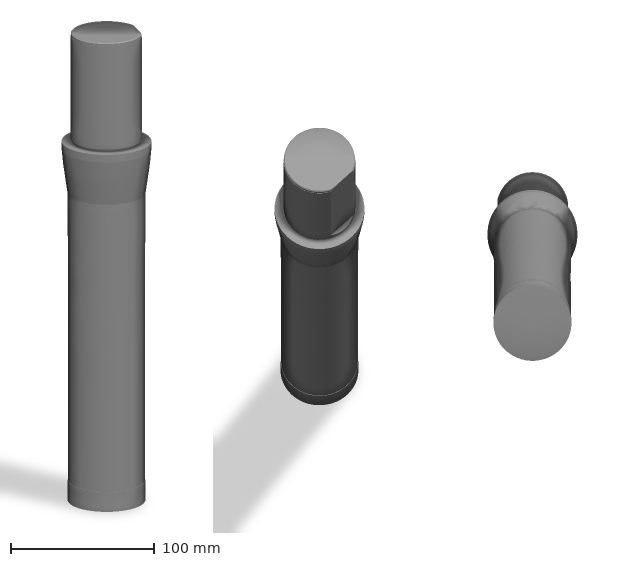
import cadquery as cq
import math

total_length = 344.0

collar_diameter = 62.5
neck_diameter = 54.5
barrel_diameter = 53.3
end_diameter = neck_diameter
end_step_diameter = 54.0
dome_height = 1.0
end_band_top = 15.8
barrel_top = 118.0
neck_bottom = 221.2
neck_top = 226.5
collar_bottom = 258.7
collar_top = 264.2
flare_bulge = 0.5

insert_diameter = 50.0
seat_diameter = 48.0
seat_shoulder = 266.0
seat_depth = 5.0
tip_diameter = 49.5
tip_height = 2.5
tip_chamfer = 0.7
flat_distance = 22.5
flat_bottom = 268.3


def make_socket_plug():
    """Cylinder shared by the socket in the grip and the foot of the insert."""
    return (
        cq.Workplane("XY")
        .workplane(offset=collar_top - seat_depth)
        .circle(seat_diameter / 2)
        .extrude(seat_shoulder - collar_top + seat_depth)
    )


def make_grip():
    """Turned sleeve with a socket in its collar face."""
    end_radius = end_diameter / 2
    dome_radius = (end_radius**2 + dome_height**2) / (2 * dome_height)
    dome_mid_x = end_radius / 2
    dome_mid_z = dome_radius - math.sqrt(dome_radius**2 - dome_mid_x**2)
    flare_mid = (
        (neck_diameter + collar_diameter) / 4 + flare_bulge,
        (neck_top + collar_bottom) / 2,
    )
    body = (
        cq.Workplane("XZ")
        .moveTo(0, 0)
        .threePointArc((dome_mid_x, dome_mid_z), (end_radius, dome_height))
        .lineTo(end_step_diameter / 2, end_band_top)
        .lineTo(barrel_diameter / 2, end_band_top)
        .lineTo(barrel_diameter / 2, barrel_top)
        .lineTo(neck_diameter / 2, neck_bottom)
        .lineTo(neck_diameter / 2, neck_top)
        .threePointArc(flare_mid, (collar_diameter / 2, collar_bottom))
        .lineTo(collar_diameter / 2, collar_top)
        .lineTo(0, collar_top)
        .close()
        .revolve(360, (0, 0, 0), (0, 1, 0))
    )
    return body.cut(make_socket_plug())


def make_insert():
    """Bar with a chamfered tip and a flat whose lower end runs out at 45 degrees."""
    bar = (
        cq.Workplane("XY")
        .workplane(offset=seat_shoulder)
        .circle(insert_diameter / 2)
        .extrude(total_length - tip_height - seat_shoulder)
        .faces(">Z")
        .workplane()
        .circle(tip_diameter / 2)
        .extrude(tip_height)
        .faces(">Z")
        .chamfer(tip_chamfer)
    )
    outer_y = insert_diameter / 2
    runout = outer_y - flat_distance
    flat_cut = (
        cq.Workplane("YZ")
        .moveTo(outer_y, flat_bottom)
        .lineTo(flat_distance, flat_bottom + runout)
        .lineTo(flat_distance, total_length)
        .lineTo(outer_y, total_length)
        .close()
        .extrude(insert_diameter / 2, both=True)
    )
    return bar.cut(flat_cut).union(make_socket_plug())


grip = make_grip()
insert = make_insert()

result = cq.Compound.makeCompound([grip.val(), insert.val()])